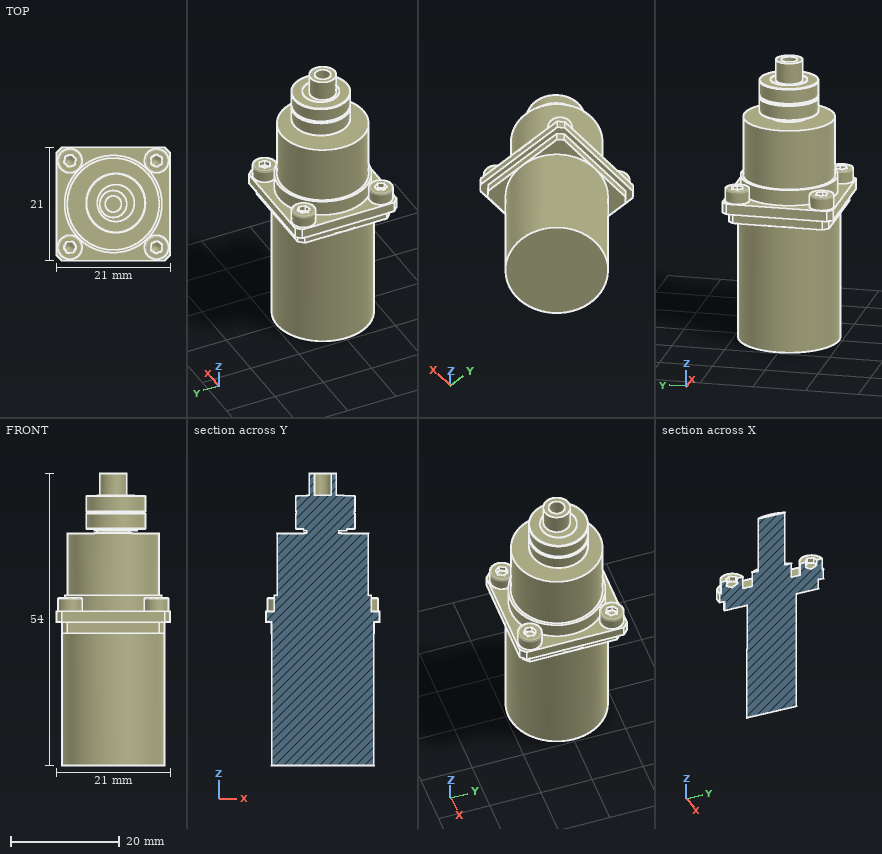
import cadquery as cq
import math

motor_diameter = 19.0
motor_height = 24.5
pad_width = 19.0
pad_thickness = 2.0
flange_width = 21.0
flange_thickness = 2.0
corner_chamfer = 1.0

collar_diameter = 18.0
collar_height = 3.0
housing_diameter = 17.0
housing_top = 42.9

washer_diameter = 6.85
washer_thickness = 0.1
neck_diameter = 6.1

shaft_diameter = 5.0
total_height = 54.0
shaft_bore_diameter = 3.0

eccentricity = 0.5
eccentric_angle = 20.0
eccentric_diameter = 6.85
eccentric_top = 50.0
eccentric_flange_diameter = 8.0
eccentric_flange_bottom = 43.4
ring_diameter = 11.0
ring_thickness = 3.0
ring_rim_diameter = 10.8
ring_chamfer_axial = 0.15
ring_gap = 0.2
ring_recess = 0.1

screw_offset = 8.0
head_diameter = 4.5
head_height = 2.5
head_fillet = 0.25
socket_width = 2.0
socket_depth = 1.1
socket_cone_angle = 120.0
screws = [
    (-1, 1, 16.0),
    (1, 1, 34.0),
    (-1, -1, 3.0),
    (1, -1, 23.0),
]

pad_bottom = motor_height
flange_bottom = pad_bottom + pad_thickness
flange_top = flange_bottom + flange_thickness
collar_top = flange_top + collar_height
upper_ring_bottom = eccentric_top - ring_recess - ring_thickness
lower_ring_bottom = upper_ring_bottom - ring_gap - ring_thickness
eccentric_x = eccentricity * math.cos(math.radians(eccentric_angle))
eccentric_y = eccentricity * math.sin(math.radians(eccentric_angle))
socket_corner_diameter = socket_width / math.cos(math.radians(30))


def cylinder(diameter, bottom, top, x=0.0, y=0.0):
    """Upright cylinder between two levels."""
    return (
        cq.Workplane("XY", origin=(x, y, bottom))
        .circle(diameter / 2)
        .extrude(top - bottom)
    )


def square_plate(width, bottom, thickness):
    """Square plate with chamfered vertical corners."""
    return (
        cq.Workplane("XY", origin=(0, 0, bottom))
        .rect(width, width)
        .extrude(thickness)
        .edges("|Z")
        .chamfer(corner_chamfer)
    )


def make_motor():
    """Motor can, mounting pad, flange and stepped housing."""
    return (
        cylinder(motor_diameter, 0, pad_bottom)
        .union(square_plate(pad_width, pad_bottom, pad_thickness))
        .union(square_plate(flange_width, flange_bottom, flange_thickness))
        .union(cylinder(collar_diameter, flange_top, collar_top))
        .union(cylinder(housing_diameter, collar_top, housing_top))
    )


def make_ring(bottom):
    """Bearing ring with chamfered rims, revolved about the eccentric axis."""
    radius = ring_diameter / 2
    rim_radius = ring_rim_diameter / 2
    profile = [
        (0, 0),
        (rim_radius, 0),
        (radius, ring_chamfer_axial),
        (radius, ring_thickness - ring_chamfer_axial),
        (rim_radius, ring_thickness),
        (0, ring_thickness),
    ]
    return (
        cq.Workplane("XZ", origin=(eccentric_x, eccentric_y, bottom))
        .polyline(profile)
        .close()
        .revolve(360, (0, 0), (0, 1))
    )


def make_eccentric():
    """Eccentric hub with its supporting flange and two bearing rings."""
    hub = cylinder(
        eccentric_diameter, eccentric_flange_bottom, eccentric_top, eccentric_x, eccentric_y
    )
    support = cylinder(
        eccentric_flange_diameter,
        eccentric_flange_bottom,
        lower_ring_bottom,
        eccentric_x,
        eccentric_y,
    )
    spacer = cylinder(
        ring_rim_diameter,
        lower_ring_bottom + ring_thickness,
        upper_ring_bottom,
        eccentric_x,
        eccentric_y,
    )
    return (
        hub.union(support)
        .union(spacer)
        .union(make_ring(lower_ring_bottom))
        .union(make_ring(upper_ring_bottom))
    )


def make_shaft():
    """Washer, neck and shaft end on the motor axis."""
    return (
        cylinder(washer_diameter, housing_top, housing_top + washer_thickness)
        .union(cylinder(neck_diameter, housing_top, eccentric_flange_bottom))
        .union(cylinder(shaft_diameter, eccentric_flange_bottom, total_height))
    )


def make_screw(x, y, socket_turn):
    """Cap screw head with a hexagon socket that ends in a drill cone."""
    head_top = flange_top + head_height
    socket_floor = head_top - socket_depth
    head = cylinder(head_diameter, flange_top, head_top, x, y)
    head = head.faces(">Z").edges().fillet(head_fillet)

    hexagon = (
        cq.Workplane("XY", origin=(x, y, socket_floor))
        .transformed(rotate=(0, 0, socket_turn))
        .polygon(6, socket_corner_diameter)
        .extrude(socket_depth)
    )
    cone_radius = socket_corner_diameter / 2
    cone_depth = cone_radius / math.tan(math.radians(socket_cone_angle / 2))
    cone = cq.Workplane(
        cq.Solid.makeCone(
            cone_radius, 0, cone_depth, cq.Vector(x, y, socket_floor), cq.Vector(0, 0, -1)
        )
    )
    return head.cut(hexagon).cut(cone)


result = make_motor().union(make_shaft()).union(make_eccentric())
for sign_x, sign_y, turn in screws:
    result = result.union(make_screw(sign_x * screw_offset, sign_y * screw_offset, turn))

result = result.cut(cylinder(shaft_bore_diameter, eccentric_top, total_height))